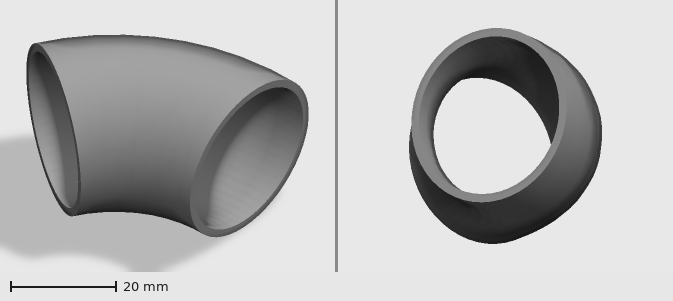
import cadquery as cq
import math

overall_length = 47.5
outer_diameter = 33.7
wall_thickness = 1.6
bend_angle = 60.0

outer_radius = outer_diameter / 2
inner_radius = outer_radius - wall_thickness

bend_radius = overall_length / math.sin(math.radians(bend_angle)) - outer_radius

axis_start = (bend_radius, 0)
axis_end = (bend_radius, -1)

tube_section = cq.Workplane("XZ").circle(outer_radius).circle(inner_radius)
result = tube_section.revolve(bend_angle, axis_start, axis_end)